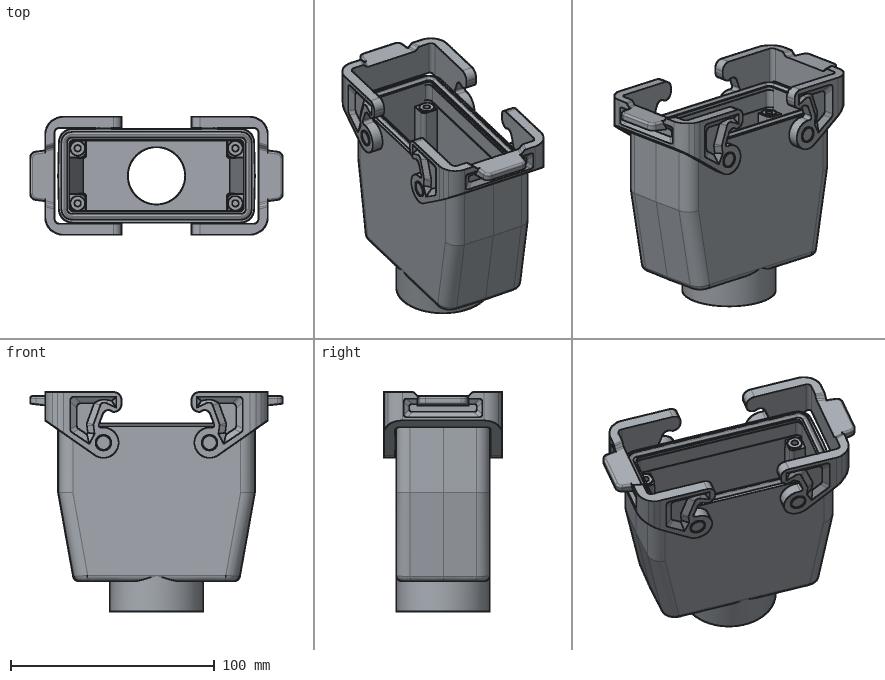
import cadquery as cq
import math

BODY_HALF_Y = 23.1
BODY_END_X = 48.0
END_CROWN = 0.4
CORNER_R = 6.8
RIM_Z = 91.1
KINK_Z = 58.5
BASE_Z = 14.9
BASE_END_X = 40.2
BASE_FILLET = 3.1

CAVITY_X = 42.8
CAVITY_Y = 17.2
CAVITY_CORNER_R = 2.5
FLOOR_Z = 19.8
FLOOR_END_X = 36.0
STEP_Z = (80.6, 89.5)
STEP_WIDTH = 0.2

BEAD_WIDTH = 2.9
BEAD_HEIGHT = 1.2
BEAD_FILLET = 1.1
BEAD_X = 45.3
BEAD_Y = 20.1
BEAD_CORNER_R = 3.7

ENTRY_R = BODY_HALF_Y
ENTRY_HOLE_R = 14.0

POST_X = 38.7
POST_Y = 13.5
POST_INNER_X = 35.0
POST_INNER_Y = 9.2
POST_CORNER_R = 2.0
POST_TOP_Z = 79.0
POST_DRAFT = 0.6
POST_ROOT = 1.2
POST_RING_R = 3.6
POST_RING_HEIGHT = 0.6
POST_HOLE_R = 1.6
POST_HOLE_DEPTH = 12.4

LEVER_END_X = 54.7
LEVER_HALF_Y = 29.0
LEVER_TOP_Z = 107.9
LEVER_END_BOTTOM_Z = 93.9
LEVER_CORNER_R = 8.9
FLAT_OUTER_X = -51.2
FLAT_INNER_X = -48.7
LEVER_INNER_X = 50.0
LEVER_INNER_Y = 23.4
LEVER_INNER_R = 2.2
PIVOT_X = 26.0
PIVOT_Z = 83.0
PIVOT_BOSS_R = 7.5
PIN_R = 3.8
PIN_ROOT_Y = 19.8
PIN_GROOVE_WIDTH = 0.4
PIN_GROOVE_DEPTH = 0.4
HOOK_TIP_X = 17.1
HOOK_BOTTOM_Z = 98.0
HOOK_R = 4.1

THROAT_START = (-22.8, 98.8)
THROAT_CREST = (-24.7, 98.7)
THROAT_END = (-26.3, 97.1)
ARM_END = (-28.0, 92.5)
NECK_MIDDLE = (-28.1, 91.0)
NECK_OFFSET = 1.1

SIDE_POCKET_DEPTH = 2.2
SIDE_POCKET_SLOPE = 3.2
POCKET_LEFT_X = -42.4
POCKET_RIGHT_X = -19.8
POCKET_TOP_Z = 105.5
POCKET_LEFT_BOTTOM_Z = 88.7
POCKET_BEND = (-31.0, 91.8)
POCKET_NOTCH = (-30.4, 87.3)
POCKET_TIP = (-33.0, 82.3)
THROAT_RIB = (-25.7, 100.7)
THROAT_RIB_R = 2.0
FINGER_ANGLE = math.radians(65)
SIDE_POCKET_FILLET = 4.0
END_POCKET_HALF_Y = 19.2
END_POCKET_BOTTOM_Z = 95.5
END_POCKET_TOP_Z = 104.5
END_POCKET_DEPTH = 1.7
END_POCKET_SLOPE = 2.6
END_POCKET_FILLET = 2.7

TAB_TIP_X = 62.0
TAB_TIP_HALF_Y = 11.5
TAB_ROOT_HALF_Y = 13.1
TAB_TOP_Z = 105.9
TAB_TIP_BOTTOM_Z = 102.0
TAB_ROOT_BOTTOM_Z = 101.2
TAB_CORNER_R = 3.1
TAB_EDGE_R = 1.1
TAB_BOTTOM_EDGE_R = 0.6
NOTCH_HALF_Y = 12.0
NOTCH_FLARE = 1.2
NOTCH_R = 1.2

PICK_MARGIN = 0.1


def body_outline(z, end_x):
    """Rounded rectangle whose end faces are slightly crowned."""
    corner_y = BODY_HALF_Y - CORNER_R
    side_x = end_x - CORNER_R
    bow = CORNER_R * (1 - math.sqrt(0.5))
    return (
        cq.Workplane("XY", origin=(0, 0, z))
        .moveTo(-side_x, -BODY_HALF_Y)
        .lineTo(side_x, -BODY_HALF_Y)
        .threePointArc((end_x - bow, -BODY_HALF_Y + bow), (end_x, -corner_y))
        .lineTo(end_x + END_CROWN, 0)
        .lineTo(end_x, corner_y)
        .threePointArc((end_x - bow, BODY_HALF_Y - bow), (side_x, BODY_HALF_Y))
        .lineTo(-side_x, BODY_HALF_Y)
        .threePointArc((-end_x + bow, BODY_HALF_Y - bow), (-end_x, corner_y))
        .lineTo(-end_x - END_CROWN, 0)
        .lineTo(-end_x, -corner_y)
        .threePointArc((-end_x + bow, -BODY_HALF_Y + bow), (-side_x, -BODY_HALF_Y))
        .close()
    )


def make_shell():
    """Solid outside of the hood with the cable entry stub below it."""
    upper = body_outline(KINK_Z, BODY_END_X).extrude(RIM_Z - KINK_Z)
    kink_wire = body_outline(KINK_Z, BODY_END_X).val()
    base_wire = body_outline(BASE_Z, BASE_END_X).val()
    lower = cq.Workplane(cq.Solid.makeLoft([base_wire, kink_wire], True))
    lower = lower.faces("<Z").edges().fillet(BASE_FILLET)
    entry = cq.Workplane("XY").circle(ENTRY_R).extrude(FLOOR_Z)
    return upper.union(lower).union(entry)


def make_cavity():
    """Inner space with leaning ends, open at the rim and stepped slightly wider near it."""
    profile = [
        (-FLOOR_END_X, FLOOR_Z),
        (FLOOR_END_X, FLOOR_Z),
        (CAVITY_X, KINK_Z),
        (CAVITY_X, RIM_Z),
        (-CAVITY_X, RIM_Z),
        (-CAVITY_X, KINK_Z),
    ]
    cavity = (
        cq.Workplane("XZ")
        .polyline(profile)
        .close()
        .extrude(CAVITY_Y, both=True)
        .edges("|Z")
        .fillet(CAVITY_CORNER_R)
    )
    for number, z in enumerate(STEP_Z, start=1):
        mouth = (
            cq.Workplane("XY", origin=(0, 0, z))
            .rect(2 * CAVITY_X, 2 * (CAVITY_Y + number * STEP_WIDTH))
            .extrude(RIM_Z - z)
            .edges("|Z")
            .fillet(CAVITY_CORNER_R)
        )
        cavity = cavity.union(mouth)
    return cavity


def make_bead():
    """Rounded bead with a narrow flat crest, following the rim."""
    half_width = BEAD_WIDTH / 2

    def block(offset):
        return (
            cq.Workplane("XY", origin=(0, 0, RIM_Z))
            .rect(2 * (BEAD_X + offset), 2 * (BEAD_Y + offset))
            .extrude(BEAD_HEIGHT)
            .edges("|Z")
            .fillet(BEAD_CORNER_R + offset)
        )

    ring = block(half_width).cut(block(-half_width))
    return ring.faces(">Z").edges().fillet(BEAD_FILLET)


def make_post(side_x, side_y):
    """Drafted screw post in one corner of the cavity, with a raised ring around its hole."""
    foot_x = POST_INNER_X - POST_DRAFT
    foot_y = POST_INNER_Y - POST_DRAFT
    outer_x = CAVITY_X + POST_ROOT
    outer_y = CAVITY_Y + POST_ROOT
    bottom_z = FLOOR_Z - POST_ROOT
    height = POST_TOP_Z - bottom_z
    free_edge = cq.NearestToPointSelector(
        (side_x * POST_INNER_X, side_y * POST_INNER_Y, bottom_z + height / 2)
    )
    post = (
        cq.Workplane("XY", origin=(0, 0, bottom_z))
        .center(side_x * (outer_x + foot_x) / 2, side_y * (outer_y + foot_y) / 2)
        .rect(outer_x - foot_x, outer_y - foot_y)
        .extrude(height, taper=math.degrees(math.atan2(POST_DRAFT, height)))
        .edges(free_edge)
        .fillet(POST_CORNER_R)
    )
    ring = (
        cq.Workplane("XY", origin=(side_x * POST_X, side_y * POST_Y, POST_TOP_Z))
        .circle(POST_RING_R)
        .extrude(POST_RING_HEIGHT)
    )
    hole = (
        cq.Workplane("XY", origin=(side_x * POST_X, side_y * POST_Y, POST_TOP_Z + POST_RING_HEIGHT))
        .circle(POST_HOLE_R)
        .extrude(-POST_HOLE_DEPTH)
    )
    return post.union(ring).cut(hole)


def lever_side_outline():
    """Side shape of the lever: end wall, hook and pivot boss."""
    bow = HOOK_R * math.sqrt(0.5)
    hook_x = -HOOK_TIP_X - HOOK_R
    upper_z = LEVER_TOP_Z - HOOK_R
    lower_z = HOOK_BOTTOM_Z + HOOK_R

    run = LEVER_END_X - PIVOT_X
    drop = LEVER_END_BOTTOM_Z - PIVOT_Z
    slope = math.atan2(drop, run) + math.asin(PIVOT_BOSS_R / math.hypot(run, drop))
    tangent_x = -PIVOT_X - PIVOT_BOSS_R * math.sin(slope)
    tangent_z = PIVOT_Z - PIVOT_BOSS_R * math.cos(slope)

    neck_x = -PIVOT_X - NECK_OFFSET
    neck_z = PIVOT_Z + math.sqrt(PIVOT_BOSS_R**2 - NECK_OFFSET**2)
    return (
        cq.Workplane("XZ")
        .moveTo(-LEVER_END_X, LEVER_TOP_Z)
        .lineTo(hook_x, LEVER_TOP_Z)
        .threePointArc((hook_x + bow, upper_z + bow), (-HOOK_TIP_X, upper_z))
        .lineTo(-HOOK_TIP_X, lower_z)
        .threePointArc((hook_x + bow, lower_z - bow), (hook_x, HOOK_BOTTOM_Z))
        .lineTo(*THROAT_START)
        .threePointArc(THROAT_CREST, THROAT_END)
        .lineTo(*ARM_END)
        .threePointArc(NECK_MIDDLE, (neck_x, neck_z))
        .threePointArc((-PIVOT_X + PIVOT_BOSS_R, PIVOT_Z), (tangent_x, tangent_z))
        .lineTo(-LEVER_END_X, LEVER_END_BOTTOM_Z)
        .close()
    )


def make_sloped_wall(start, end):
    """Wedge along one pocket edge; the pocket lies to the right of start-to-end."""
    length = math.dist(start, end)
    along = ((end[0] - start[0]) / length, (end[1] - start[1]) / length)
    plane = cq.Plane(
        origin=(start[0], -LEVER_HALF_Y, start[1]),
        xDir=(along[1], 0, -along[0]),
        normal=(along[0], 0, along[1]),
    )
    wedge = [(0, 0), (SIDE_POCKET_SLOPE, SIDE_POCKET_DEPTH), (0, SIDE_POCKET_DEPTH)]
    return cq.Workplane(plane).polyline(wedge).close().extrude(length)


def make_round_wall(centre, radius):
    """Cone that widens toward the pocket floor around an inward bend of the pocket edge."""
    cone = cq.Solid.makeCone(
        radius,
        radius + SIDE_POCKET_SLOPE,
        SIDE_POCKET_DEPTH,
        pnt=cq.Vector(centre[0], -LEVER_HALF_Y, centre[1]),
        dir=cq.Vector(0, 1, 0),
    )
    return cq.Workplane(cone)


def on_throat_rib(angle):
    """Point on the round wall over the throat, at an angle from +X toward +Z."""
    return (
        THROAT_RIB[0] + THROAT_RIB_R * math.cos(angle),
        THROAT_RIB[1] + THROAT_RIB_R * math.sin(angle),
    )


def make_side_pocket():
    """Pocket with sloping walls in the outer face of the lever arm at -Y."""
    rise = (THROAT_RIB[0] - POCKET_BEND[0], THROAT_RIB[1] - POCKET_BEND[1])
    lean = math.atan2(rise[1], rise[0]) + math.asin(THROAT_RIB_R / math.hypot(*rise))
    arm_top = on_throat_rib(lean + math.pi / 2)
    rib_crest = on_throat_rib(math.pi / 2)
    finger_root = on_throat_rib(FINGER_ANGLE)
    finger_drop = (POCKET_RIGHT_X - finger_root[0]) / math.tan(FINGER_ANGLE)
    finger_end = (POCKET_RIGHT_X, finger_root[1] - finger_drop)

    top_left = (POCKET_LEFT_X, POCKET_TOP_Z)
    top_right = (POCKET_RIGHT_X, POCKET_TOP_Z)
    bottom_left = (POCKET_LEFT_X, POCKET_LEFT_BOTTOM_Z)
    pocket = (
        cq.Workplane("XZ", origin=(0, -LEVER_HALF_Y, 0))
        .polyline([top_left, top_right, finger_end, finger_root])
        .threePointArc(rib_crest, arm_top)
        .lineTo(*POCKET_BEND)
        .lineTo(*POCKET_NOTCH)
        .lineTo(*POCKET_TIP)
        .lineTo(*bottom_left)
        .close()
        .extrude(-SIDE_POCKET_DEPTH)
    )
    edges = [
        (top_left, top_right),
        (top_right, finger_end),
        (finger_end, finger_root),
        (arm_top, POCKET_BEND),
        (POCKET_BEND, POCKET_NOTCH),
        (POCKET_NOTCH, POCKET_TIP),
        (POCKET_TIP, bottom_left),
        (bottom_left, top_left),
    ]
    for start, end in edges:
        pocket = pocket.cut(make_sloped_wall(start, end))
    pocket = pocket.cut(make_round_wall(THROAT_RIB, THROAT_RIB_R))
    pocket = pocket.cut(make_round_wall(POCKET_BEND, 0))
    mitres = cq.selectors.BoxSelector(
        (POCKET_LEFT_X, -LEVER_HALF_Y + PICK_MARGIN, POCKET_LEFT_BOTTOM_Z),
        (
            POCKET_LEFT_X + SIDE_POCKET_SLOPE - PICK_MARGIN,
            SIDE_POCKET_DEPTH - LEVER_HALF_Y - PICK_MARGIN,
            POCKET_TOP_Z,
        ),
    )
    return pocket.edges(mitres).fillet(SIDE_POCKET_FILLET)


def make_end_pocket():
    """Pocket with sloping walls in the lever's end wall, below the thumb tab."""
    height = END_POCKET_TOP_Z - END_POCKET_BOTTOM_Z
    middle_z = (END_POCKET_TOP_Z + END_POCKET_BOTTOM_Z) / 2
    taper = math.degrees(math.atan2(END_POCKET_SLOPE, END_POCKET_DEPTH))
    return (
        cq.Workplane("YZ", origin=(-LEVER_END_X, 0, middle_z))
        .rect(2 * END_POCKET_HALF_Y, height)
        .extrude(END_POCKET_DEPTH, taper=taper)
        .edges("not(#X or |Y or |Z)")
        .fillet(END_POCKET_FILLET)
    )


def make_thumb_tab():
    """Thumb tab on the end wall, tapering toward its rounded tip."""
    side = [
        (-TAB_TIP_X, TAB_TOP_Z),
        (-LEVER_INNER_X, TAB_TOP_Z),
        (-LEVER_INNER_X, TAB_ROOT_BOTTOM_Z),
        (-LEVER_END_X, TAB_ROOT_BOTTOM_Z),
        (-TAB_TIP_X, TAB_TIP_BOTTOM_Z),
    ]
    plan = [
        (-TAB_TIP_X, TAB_TIP_HALF_Y),
        (-TAB_TIP_X, -TAB_TIP_HALF_Y),
        (-LEVER_INNER_X, -TAB_ROOT_HALF_Y),
        (-LEVER_INNER_X, TAB_ROOT_HALF_Y),
    ]
    body = cq.Workplane("XY").polyline(plan).close().extrude(LEVER_TOP_Z)
    body = body.edges("|Z").edges("<X").fillet(TAB_CORNER_R)
    profile = cq.Workplane("XZ").polyline(side).close().extrude(TAB_ROOT_HALF_Y, both=True)
    tab = body.intersect(profile)
    tab = tab.faces(">Z").edges("not >X").fillet(TAB_EDGE_R)
    tip_bottom = cq.selectors.BoxSelector(
        (-TAB_TIP_X - PICK_MARGIN, -LEVER_HALF_Y, 0),
        (-LEVER_END_X, LEVER_HALF_Y, TAB_TIP_BOTTOM_Z + PICK_MARGIN),
    )
    return tab.edges(tip_bottom).edges("not |Y or <X").fillet(TAB_BOTTOM_EDGE_R)


def notch_outline(x, half_y):
    """Notch section: each side is a 45 degree slope with a rounded foot and crest."""
    arc_run = NOTCH_R * math.sin(math.pi / 4)
    arc_rise = NOTCH_R * (1 - math.cos(math.pi / 4))
    half_run = NOTCH_R * math.sin(math.pi / 8)
    half_rise = NOTCH_R * (1 - math.cos(math.pi / 8))
    depth = LEVER_TOP_Z - TAB_TOP_Z
    top_y = half_y + 2 * (arc_run - arc_rise) + depth
    return (
        cq.Workplane("YZ", origin=(x, 0, 0))
        .moveTo(-half_y, TAB_TOP_Z)
        .lineTo(half_y, TAB_TOP_Z)
        .threePointArc((half_y + half_run, TAB_TOP_Z + half_rise), (half_y + arc_run, TAB_TOP_Z + arc_rise))
        .lineTo(top_y - arc_run, LEVER_TOP_Z - arc_rise)
        .threePointArc((top_y - half_run, LEVER_TOP_Z - half_rise), (top_y, LEVER_TOP_Z))
        .lineTo(-top_y, LEVER_TOP_Z)
        .threePointArc((half_run - top_y, LEVER_TOP_Z - half_rise), (arc_run - top_y, LEVER_TOP_Z - arc_rise))
        .lineTo(-half_y - arc_run, TAB_TOP_Z + arc_rise)
        .threePointArc((-half_y - half_run, TAB_TOP_Z + half_rise), (-half_y, TAB_TOP_Z))
        .close()
        .val()
    )


def make_tab_notch():
    """Notch in the top of the end wall over the thumb tab, flared toward the inside."""
    outer = notch_outline(-LEVER_END_X, NOTCH_HALF_Y)
    inner = notch_outline(-LEVER_INNER_X, NOTCH_HALF_Y + NOTCH_FLARE)
    return cq.Workplane(cq.Solid.makeLoft([outer, inner], True))


def make_pin():
    """Pivot pin from the side of the body into the lever."""
    return (
        cq.Workplane("XZ", origin=(-PIVOT_X, -PIN_ROOT_Y, PIVOT_Z))
        .circle(PIN_R)
        .extrude(LEVER_INNER_Y - PIN_ROOT_Y)
    )


def make_pin_groove():
    """Shallow ring around the pin's outer end."""
    return (
        cq.Workplane("XZ", origin=(-PIVOT_X, -LEVER_HALF_Y, PIVOT_Z))
        .circle(PIN_R)
        .circle(PIN_R - PIN_GROOVE_WIDTH)
        .extrude(-PIN_GROOVE_DEPTH)
    )


def make_corner_flat():
    """Cutter that leaves a narrow upright flat on the rounded corner of the lever."""
    centre_x = LEVER_CORNER_R - LEVER_END_X
    centre_y = LEVER_CORNER_R - LEVER_HALF_Y
    ends = []
    for x in (FLAT_OUTER_X, FLAT_INNER_X):
        ends.append((x, centre_y - math.sqrt(LEVER_CORNER_R**2 - (x - centre_x) ** 2)))
    return (
        cq.Workplane("XY")
        .polyline([*ends, (FLAT_OUTER_X, ends[1][1])])
        .close()
        .extrude(LEVER_TOP_Z)
    )


def make_lever():
    """U-shaped locking lever at the -X end, with its pivot pins."""
    reach = LEVER_END_X - HOOK_TIP_X
    height = LEVER_TOP_Z - PIVOT_Z + PIVOT_BOSS_R
    base = cq.Workplane("XY", origin=(-LEVER_END_X, 0, PIVOT_Z - PIVOT_BOSS_R))
    outer = (
        base.rect(2 * reach, 2 * LEVER_HALF_Y)
        .extrude(height)
        .translate((reach, 0, 0))
        .edges("|Z and <X")
        .fillet(LEVER_CORNER_R)
    )
    inner = (
        base.rect(2 * reach, 2 * LEVER_INNER_Y)
        .extrude(height)
        .translate((reach + LEVER_END_X - LEVER_INNER_X, 0, 0))
        .edges("|Z and <X")
        .fillet(LEVER_INNER_R)
    )
    corner_flat = make_corner_flat()
    outer = outer.cut(corner_flat).cut(corner_flat.mirror("XZ"))
    lever = outer.cut(inner).intersect(lever_side_outline().extrude(LEVER_HALF_Y, both=True))
    lever = lever.cut(make_end_pocket()).cut(make_tab_notch()).union(make_thumb_tab())

    pocket = make_side_pocket()
    pin = make_pin()
    groove = make_pin_groove()
    for cutter in (pocket, groove):
        lever = lever.cut(cutter).cut(cutter.mirror("XZ"))
    return lever.union(pin).union(pin.mirror("XZ"))


shell = make_shell()
result = shell.cut(make_cavity()).union(make_bead())
for side_x in (-1, 1):
    for side_y in (-1, 1):
        result = result.union(make_post(side_x, side_y).intersect(shell))
entry_hole = cq.Workplane("XY").circle(ENTRY_HOLE_R).extrude(FLOOR_Z)
result = result.cut(entry_hole)
lever = make_lever()
result = result.union(lever).union(lever.mirror("YZ"))